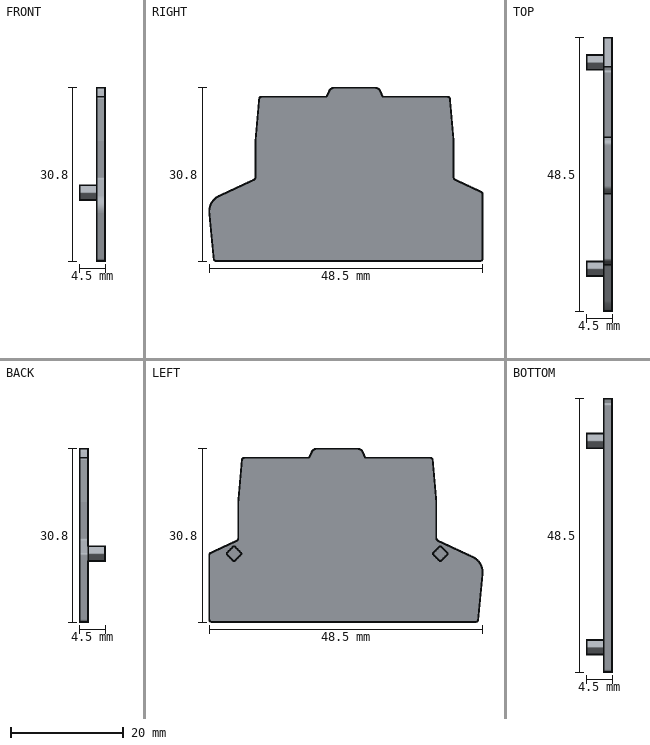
import cadquery as cq
import math

overall_length = 48.55
overall_height = 30.8
plate_thickness = 1.5
peg_length = 3.0

body_back = 19.15
body_width = 35.2
body_front = body_back - body_width
body_top = 29.2
taper_start = 21.3
taper_angle = math.radians(5)

shoulder_height = 14.55
shoulder_angle = math.radians(25)

nose_radius = 3.0
front_lean = math.radians(5.5)

tab_center = 1.55
tab_base_width = 10.0
tab_side_angle = math.radians(25)
tab_radius = 1.0

corner_radius = 0.5

peg_side = 2.0
peg_edge_radius = 0.2
peg_height = 12.15
peg_positions = (-16.75, 19.85)

back = overall_length / 2
front = -overall_length / 2
taper_inset = (body_top - taper_start) * math.tan(taper_angle)
tab_inset = (overall_height - body_top) * math.tan(tab_side_angle)
tab_back = tab_center + tab_base_width / 2
tab_front = tab_center - tab_base_width / 2
back_shoulder_end = shoulder_height - (back - body_back) * math.tan(shoulder_angle)

nose_y = front + nose_radius
nose_z = (shoulder_height - (body_front - nose_y) * math.tan(shoulder_angle)
          - nose_radius / math.cos(shoulder_angle))
front_at_nose = nose_y - nose_radius / math.cos(front_lean)
front_foot = front_at_nose + nose_z * math.tan(front_lean)

shoulder_drop = math.tan(shoulder_angle)
lean_slope = math.tan(front_lean)
nose_tip_z = ((shoulder_height - (body_front - front_foot) * shoulder_drop)
              / (1 + lean_slope * shoulder_drop))
nose_tip_y = front_foot - nose_tip_z * lean_slope

outline = [
    (back, 0, corner_radius),
    (back, back_shoulder_end, corner_radius),
    (body_back, shoulder_height, corner_radius),
    (body_back, taper_start, 0),
    (body_back - taper_inset, body_top, corner_radius),
    (tab_back, body_top, 0),
    (tab_back - tab_inset, overall_height, tab_radius),
    (tab_front + tab_inset, overall_height, tab_radius),
    (tab_front, body_top, 0),
    (body_front + taper_inset, body_top, corner_radius),
    (body_front, taper_start, 0),
    (body_front, shoulder_height, corner_radius),
    (nose_tip_y, nose_tip_z, nose_radius),
    (front_foot, 0, corner_radius),
]


def make_plate():
    """Extrude the sharp outline along +X, then round its corners."""
    points = [(y, z) for y, z, radius in outline]
    plate = cq.Workplane("YZ").polyline(points).close().extrude(plate_thickness)
    for y, z, radius in outline:
        if radius > 0:
            corner = cq.selectors.NearestToPointSelector((plate_thickness / 2, y, z))
            plate = plate.edges("|X").edges(corner).fillet(radius)
    return plate


def make_peg(y):
    """Square peg turned by 45 degrees, rounded along its length."""
    return (
        cq.Workplane("YZ")
        .rect(peg_side, peg_side)
        .extrude(-peg_length)
        .edges("|X")
        .fillet(peg_edge_radius)
        .rotate((0, 0, 0), (1, 0, 0), 45)
        .translate((0, y, peg_height))
    )


result = make_plate()
for peg_y in peg_positions:
    result = result.union(make_peg(peg_y))